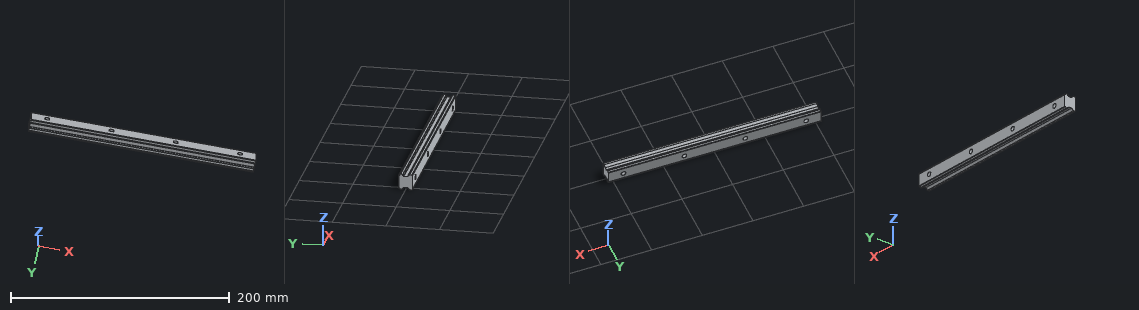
import cadquery as cq

length = 210.0
depth = 13.0
height = 15.0
front_chamfer = 0.6
hole_diameter = 4.5
hole_count = 4
hole_end_distance = 15.0
hole_pitch = (length - 2 * hole_end_distance) / (hole_count - 1)

lip_level = height / 2
back_lip_shoulder_level = 7.1
back_edge_level = 6.3
ledge_level = 6.3
ledge_end_level = 5.9
groove_floor_level = 5.5
front_lip_foot_level = 6.5

back = depth / 2
front = -depth / 2
back_land_end = 5.7
back_lip_outer = 4.6
back_lip_inner = 3.8
back_lip_foot = 2.7
groove_half_width = 1.7
front_lip_foot = -3.0
front_lip_inner = -3.8

upper_edge = [
    (back, back_edge_level),
    (back_land_end, back_edge_level),
    (back_lip_outer, lip_level),
    (back_lip_inner, lip_level),
    (back_lip_foot, back_lip_shoulder_level),
    (back_lip_foot, ledge_level),
    (groove_half_width, ledge_end_level),
    (groove_half_width, groove_floor_level),
    (-groove_half_width, groove_floor_level),
    (front_lip_foot, front_lip_foot_level),
    (front_lip_inner, lip_level),
    (front + front_chamfer, lip_level),
    (front, lip_level - front_chamfer),
]


def make_rail():
    """Extrude the section, whose lower edge mirrors its upper edge."""
    lower_edge = [(y, -z) for y, z in reversed(upper_edge)]
    section = cq.Workplane("YZ").polyline(upper_edge + lower_edge).close()
    return section.extrude(length / 2, both=True)


def make_holes():
    """Row of mounting holes running through the rail along Y."""
    return (
        cq.Workplane("XZ")
        .rarray(hole_pitch, 2, hole_count, 1)
        .circle(hole_diameter / 2)
        .extrude(depth, both=True)
    )


result = make_rail().cut(make_holes())